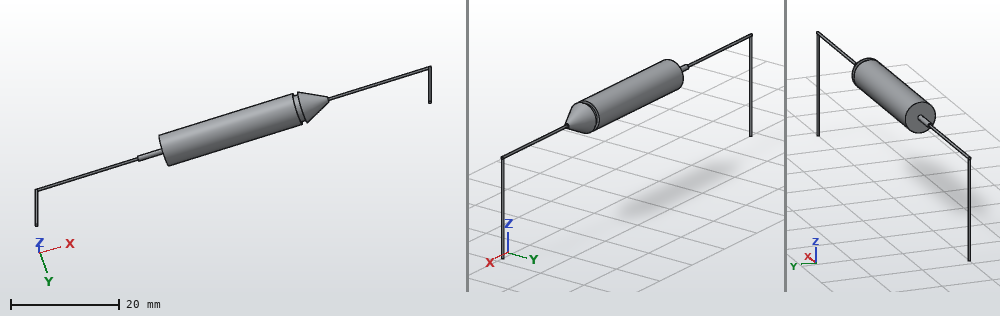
import cadquery as cq

total_length = 77.0
wire_diameter = 0.5
wire_length = 20.0
sleeve_diameter = 1.0
sleeve_length = 5.0
housing_diameter = 6.0
housing_length = 25.95
neck_diameter = 5.0
neck_length = 1.0
cone_tip_diameter = sleeve_diameter

sleeve_start = wire_length
housing_start = sleeve_start + sleeve_length
neck_start = housing_start + housing_length
cone_start = neck_start + neck_length
cone_end = total_length - wire_length
wire_radius = wire_diameter / 2


def make_rod(start, end, diameter):
    """Round rod on the X axis between two stations."""
    return cq.Workplane("YZ", origin=(start, 0, 0)).circle(diameter / 2).extrude(end - start)


def make_cone():
    """Cone narrowing from the housing diameter to its flat tip."""
    return (
        cq.Workplane("XZ")
        .moveTo(cone_start, 0)
        .lineTo(cone_start, housing_diameter / 2)
        .lineTo(cone_end, cone_tip_diameter / 2)
        .lineTo(cone_end, 0)
        .close()
        .revolve(360, (0, 0, 0), (1, 0, 0))
    )


def make_leg(horizontal_wire):
    """Left wire along Z, its top coped to sit around the underside of the horizontal wire."""
    leg = cq.Workplane("XY", origin=(wire_radius, 0, -wire_length)).circle(wire_radius).extrude(wire_length)
    return leg.cut(horizontal_wire)


def mirror_to_right(body):
    """Copy of a left-hand body mirrored about the middle of the length."""
    return body.mirror("YZ", (total_length / 2, 0, 0))


sleeve = make_rod(sleeve_start, housing_start, sleeve_diameter)
housing = make_rod(housing_start, neck_start, housing_diameter)
neck = make_rod(neck_start, cone_start, neck_diameter)
cone = make_cone()

left_wire = make_rod(0, wire_length, wire_diameter)
left_leg = make_leg(left_wire)
wires = []
for left_body in (left_wire, left_leg):
    wires.append(left_body.val())
    wires.append(mirror_to_right(left_body).val())

result = cq.Compound.makeCompound([sleeve.val(), housing.val(), neck.val(), cone.val(), *wires])